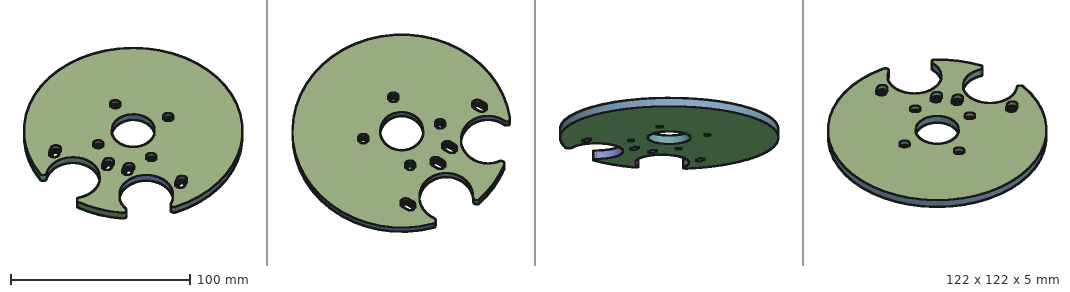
import cadquery as cq

disc_diameter = 122.0
thickness = 5.0
center_bore_diameter = 24.0

screw_diameter = 3.4
head_diameter = 5.9
recess_depth = 3.0
screw_spacing = 31.0
slot_travel = 3.0

cutout_radius = 15.0
cutout_x = 21.5
cutout_y = -43.3
tip_radius = 2.0
slot_y = cutout_y + screw_spacing / 2

screw_points = [
    (side_x * screw_spacing / 2, side_y * screw_spacing / 2)
    for side_x in (-1, 1)
    for side_y in (-1, 1)
]
slot_points = [
    (side * cutout_x + offset * screw_spacing / 2, slot_y)
    for side in (-1, 1)
    for offset in (-1, 1)
]


def make_plate():
    """Disc with two rim cutouts, rounded where the cutouts meet the rim."""
    disc = cq.Workplane("XY").circle(disc_diameter / 2).extrude(thickness)
    cutouts = (
        cq.Workplane("XY")
        .pushPoints([(-cutout_x, cutout_y), (cutout_x, cutout_y)])
        .circle(cutout_radius)
        .extrude(thickness)
    )
    tip_edges = cq.selectors.BoxSelector(
        (-disc_diameter, -disc_diameter, 0), (disc_diameter, cutout_y, thickness)
    )
    return disc.cut(cutouts).edges("|Z").edges(tip_edges).fillet(tip_radius)


def slot_cutter(width, bottom):
    """Slots along Y, from the given height up to the top face."""
    return (
        cq.Workplane("XY", origin=(0, 0, bottom))
        .pushPoints(slot_points)
        .slot2D(slot_travel + width, width, 90)
        .extrude(thickness - bottom)
    )


result = (
    make_plate()
    .faces(">Z")
    .workplane(origin=(0, 0, thickness))
    .circle(center_bore_diameter / 2)
    .cutThruAll()
    .pushPoints(screw_points)
    .cboreHole(screw_diameter, head_diameter, recess_depth)
    .cut(slot_cutter(screw_diameter, 0))
    .cut(slot_cutter(head_diameter, thickness - recess_depth))
)